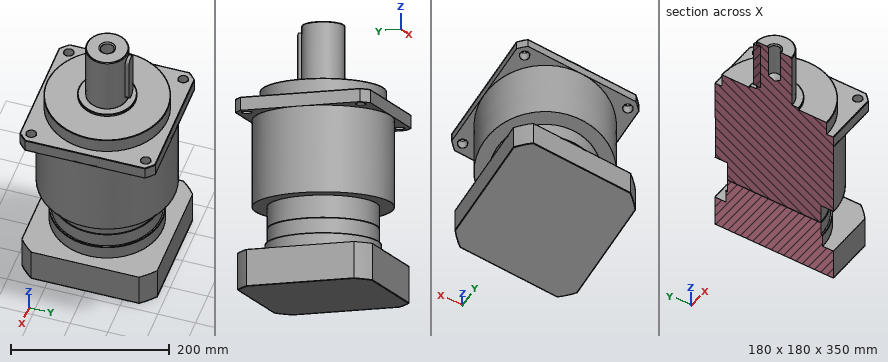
import cadquery as cq
import math

total_height = 350.0
block_top = 47.5
rim_top = 67.0
adapter_top = 87.0
neck_top = 116.0
ring_gear_top = 164.5
flange_bottom = 228.0
flange_top = 245.0
pilot_top = 265.0
collar_top = 268.0

edge_chamfer = 0.7

square_side = 180.0
block_corner_diameter = 230.0
rim_diameter = 147.5
neck_diameter = 142.0

flange_corner_diameter = 240.0
pilot_diameter = 160.0
collar_diameter = 75.0
bolt_circle_diameter = 215.0
bolt_hole_diameter = 13.0

shaft_diameter = 54.5
shaft_chamfer = 1.0
center_hole_diameter = 17.5
center_hole_mouth_diameter = 21.0
center_hole_depth = 49.0
drill_tip_angle = 118.0

key_width = 16.0
key_length = 70.0
key_thickness = 10.0
key_outer_face = 31.5
key_top_gap = 7.0


def cylinder(diameter, bottom, top):
    return cq.Workplane("XY", origin=(0, 0, bottom)).circle(diameter / 2).extrude(top - bottom)


def square_plate(corner_diameter, bottom, top):
    """Square plate whose corners are turned down to a cylinder."""
    middle = (0, 0, bottom)
    plate = cq.Workplane("XY", origin=middle).rect(square_side, square_side).extrude(top - bottom)
    return plate.intersect(cylinder(corner_diameter, bottom, top))


def make_adapter():
    """Square motor block carrying a round rim and neck."""
    block = square_plate(block_corner_diameter, 0, block_top).faces("<Z").chamfer(edge_chamfer)
    rim = cylinder(rim_diameter, block_top, rim_top).faces(">Z").chamfer(edge_chamfer)
    neck = cylinder(neck_diameter, rim_top, adapter_top).faces(">Z").chamfer(edge_chamfer)
    return block.union(rim).union(neck)


def make_center_hole():
    """Blind drilled hole with a countersunk mouth, as a cutting tool."""
    hole_radius = center_hole_diameter / 2
    mouth_radius = center_hole_mouth_diameter / 2
    hole_bottom = total_height - center_hole_depth
    tip_height = hole_radius / math.tan(math.radians(drill_tip_angle / 2))
    profile = [
        (0, total_height),
        (mouth_radius, total_height),
        (hole_radius, total_height - (mouth_radius - hole_radius)),
        (hole_radius, hole_bottom),
        (0, hole_bottom - tip_height),
    ]
    return cq.Workplane("XZ").polyline(profile).close().revolve(360, (0, 0, 0), (0, 1, 0))


def make_key():
    """Round-ended key lying along the +Y side of the shaft."""
    key_middle_height = total_height - key_top_gap - key_length / 2
    return (
        cq.Workplane("XZ", origin=(0, key_outer_face, key_middle_height))
        .slot2D(key_length, key_width, 90)
        .extrude(key_thickness)
    )


def make_gearbox(key):
    """Stepped housing with its flange and output shaft."""
    neck = cylinder(neck_diameter, adapter_top, neck_top)
    ring_gear = cylinder(square_side, neck_top, ring_gear_top)
    output_housing = cylinder(square_side, ring_gear_top, flange_bottom)
    flange = square_plate(flange_corner_diameter, flange_bottom, flange_top)
    flange = flange.faces(">Z").chamfer(edge_chamfer)
    pilot = cylinder(pilot_diameter, flange_top, pilot_top).faces(">Z").chamfer(edge_chamfer)
    collar = cylinder(collar_diameter, pilot_top, collar_top).faces(">Z").chamfer(edge_chamfer)
    shaft = cylinder(shaft_diameter, collar_top, total_height).faces(">Z").chamfer(shaft_chamfer)

    gearbox = neck
    for section in (ring_gear, output_housing, flange, pilot, collar, shaft):
        gearbox = gearbox.union(section, clean=False)

    bolt_spacing = bolt_circle_diameter / math.sqrt(2)
    bolt_holes = (
        cq.Workplane("XY", origin=(0, 0, flange_bottom))
        .rect(bolt_spacing, bolt_spacing, forConstruction=True)
        .vertices()
        .circle(bolt_hole_diameter / 2)
        .extrude(flange_top - flange_bottom)
    )
    for cutter in (bolt_holes, make_center_hole(), key):
        gearbox = gearbox.cut(cutter, clean=False)
    return gearbox


adapter = make_adapter()
key = make_key()
gearbox = make_gearbox(key)

result = cq.Compound.makeCompound([adapter.val(), gearbox.val(), key.val()])